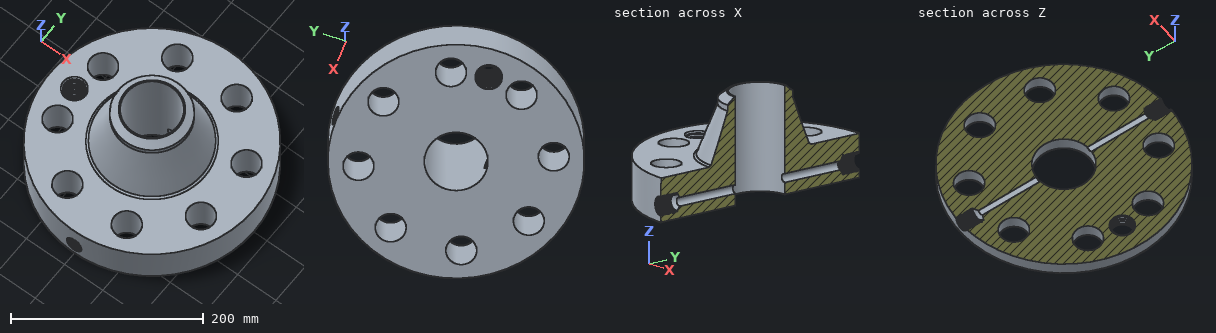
import cadquery as cq
import math

flange_diameter = 266.7
flange_radius = flange_diameter / 2
flange_thickness = 48.3

total_height = 118.1
bore_radius = 33.0
neck_tip_radius = 34.7
neck_collar_radius = 44.0
bevel_height = 7.2
collar_height = 6.5
cone_foot_radius = 66.1
root_radius = 68.8
root_height = 1.5

bolt_circle_radius = 101.5
bolt_hole_diameter = 32.0
bolt_hole_count = 8

jack_major_radius = 14.1
jack_minor_radius = 12.3
jack_pitch = 3.63

tap_height = 18.0
tap_major_radius = 10.5
tap_minor_radius = 8.5
tap_pitch = 1.81
tap_turns = 13
tap_hole_radius = 4.5
drill_point_half_angle = math.radians(59)
tap_overrun = 2.7


def make_body():
    """Revolve the plate and the weld neck with its bore."""
    collar_top = total_height - bevel_height
    collar_bottom = collar_top - collar_height
    cone_foot_z = flange_thickness + root_height
    return (
        cq.Workplane("XZ")
        .moveTo(bore_radius, 0)
        .lineTo(flange_radius, 0)
        .lineTo(flange_radius, flange_thickness)
        .lineTo(root_radius, flange_thickness)
        .lineTo(cone_foot_radius, cone_foot_z)
        .lineTo(neck_collar_radius, collar_bottom)
        .lineTo(neck_collar_radius, collar_top)
        .lineTo(neck_tip_radius, total_height)
        .lineTo(bore_radius, total_height)
        .close()
        .revolve(360, (0, 0, 0), (0, 1, 0))
    )


def thread_flanks(major_radius, minor_radius, pitch, turns):
    """Zigzag of (radius, depth) points down a threaded wall, from groove to groove."""
    points = []
    for turn in range(turns):
        groove_depth = turn * pitch
        crest_depth = groove_depth + pitch / 2
        points.append((major_radius, groove_depth))
        points.append((minor_radius, crest_depth))
    return points


def hole_cutter(wall):
    """Revolve a hole wall of (radius, depth) points into a cutter pointing down from the origin."""
    outline = [(0, wall[0][1])] + wall + [(0, wall[-1][1])]
    points = [(radius, -depth) for radius, depth in outline]
    return cq.Workplane("XZ").polyline(points).close().revolve(360, (0, 0, 0), (0, 1, 0))


def make_jack_hole():
    """Straight ringed thread through the whole plate."""
    turns = math.ceil(flange_thickness / jack_pitch) + 1
    wall = thread_flanks(jack_major_radius, jack_minor_radius, jack_pitch, turns)
    return hole_cutter(wall).translate((-bolt_circle_radius, 0, flange_thickness))


def make_pressure_tap():
    """Ringed thread entering from the -Y rim and a small hole on into the bore."""
    thread = thread_flanks(tap_major_radius, tap_minor_radius, tap_pitch, tap_turns)
    _, end_depth = thread[-1]
    point_length = (tap_minor_radius - tap_hole_radius) / math.tan(drill_point_half_angle)
    mouth = [(tap_major_radius, -tap_overrun)]
    small_hole = [(tap_hole_radius, end_depth + point_length), (tap_hole_radius, flange_radius)]
    cutter = hole_cutter(mouth + thread + small_hole)
    return cutter.rotate((0, 0, 0), (1, 0, 0), 90).translate((0, -flange_radius, tap_height))


bolt_holes = (
    cq.Workplane("XY")
    .polarArray(bolt_circle_radius, 180 / bolt_hole_count, 360, bolt_hole_count)
    .circle(bolt_hole_diameter / 2)
    .extrude(flange_thickness)
)

front_tap = make_pressure_tap()
rear_tap = front_tap.rotate((0, 0, 0), (0, 0, 1), 180)

result = make_body().cut(bolt_holes).cut(make_jack_hole()).cut(front_tap).cut(rear_tap)